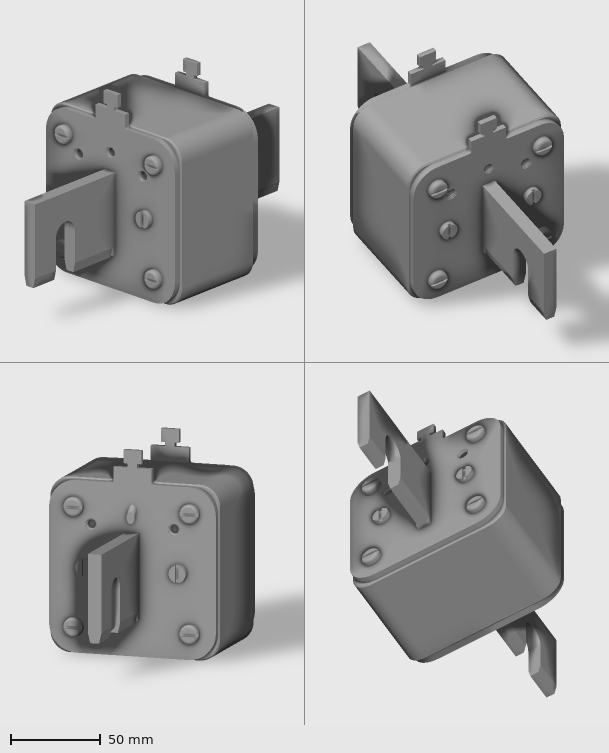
import cadquery as cq
import math


BODY_SIDE = 100.0
BODY_LENGTH = 60.0
BODY_CORNER = 12.0
BODY_EDGE_CHAMFER = 0.8

PLATE_SIDE = 98.2
PLATE_THICKNESS = 4.0
PLATE_CORNER = 16.0
PLATE_FACE = BODY_LENGTH / 2 + PLATE_THICKNESS

TAB_TOP = 68.0
TAB_THICKNESS = 3.0
TAB_BASE_WIDTH = 22.5
TAB_SHOULDER = 58.0
TAB_NECK_WIDTH = 5.5
TAB_NECK_TOP = 60.5
TAB_HEAD_WIDTH = 10.5
TAB_ROOT_FILLET = 1.2

BLADE_SPAN = 200.0
BLADE_THICKNESS = 8.0
BLADE_TOP = 21.2
BLADE_BOTTOM = -29.5
BLADE_ROOT_LENGTH = 2.8
BLADE_ROOT_BOTTOM = -28.2
BEVEL_WIDTH = 1.5
BEVEL_HEIGHT = 6.0
SLOT_WIDTH = 15.5
SLOT_TOP = 3.5
SLOT_CENTER = 75.0

SCREW_SLOT_WIDTH = 2.0
SCREW_SLOT_DEPTH = 1.5
CORNER_SCREW_OFFSET = 34.2
CORNER_SCREW_RADIUS = 5.5
CORNER_SCREW_HEIGHT = 4.2
CORNER_SCREW_FILLET = 1.8
MIDDLE_SCREW_OFFSET = 27.5
MIDDLE_SCREW_RADIUS = 5.0
MIDDLE_SCREW_HEIGHT = 3.5

HOLE_RADIUS = 2.5
SIDE_HOLE_MOUTH_RADIUS = 3.5
CENTER_HOLE_MOUTH_RADIUS = 3.5
HOLE_LEDGE_WIDTH = 0.5
HOLE_LEDGE_DEPTH = 0.5
SIDE_HOLE_OFFSET = 24.5
CENTER_HOLE_HEIGHT = 32.0

PIN_RADIUS = 2.5
PIN_HEIGHT = 33.8
PIN_PROJECTION = 3.5
PIN_TILT = 45.0


def rounded_block(side, corner, start, length):
    """Square block with rounded corners, running along +Y from start."""
    block = cq.Workplane("XY").box(side, length, side).edges("|Y").fillet(corner)
    return block.translate((0, start + length / 2, 0))


def body():
    block = rounded_block(BODY_SIDE, BODY_CORNER, -BODY_LENGTH / 2, BODY_LENGTH)
    return block.faces("<Y or >Y").chamfer(BODY_EDGE_CHAMFER)


def grip_tab():
    """Stepped tab, flush with the outer face of the -Y plate."""
    root = PLATE_SIDE / 2
    right_side = [
        (TAB_BASE_WIDTH / 2 + TAB_ROOT_FILLET, root),
        (TAB_BASE_WIDTH / 2, root + TAB_ROOT_FILLET),
        (TAB_BASE_WIDTH / 2, TAB_SHOULDER),
        (TAB_NECK_WIDTH / 2, TAB_SHOULDER),
        (TAB_NECK_WIDTH / 2, TAB_NECK_TOP),
        (TAB_HEAD_WIDTH / 2, TAB_NECK_TOP),
        (TAB_HEAD_WIDTH / 2, TAB_TOP),
    ]
    fillet_start, fillet_end = right_side[:2]
    overlap = root - TAB_ROOT_FILLET
    profile = (
        cq.Workplane("XZ", origin=(0, -PLATE_FACE, 0))
        .moveTo(0, overlap)
        .lineTo(fillet_start[0], overlap)
        .lineTo(*fillet_start)
        .radiusArc(fillet_end, TAB_ROOT_FILLET)
    )
    for point in right_side[2:]:
        profile = profile.lineTo(*point)
    half = profile.lineTo(0, TAB_TOP).close().extrude(-TAB_THICKNESS)
    return half.union(half.mirror("YZ"))


def blade():
    """Contact blade on the -Y side: bevelled lower edge and an open bolt slot."""
    half_span = BLADE_SPAN / 2
    bevel_start = PLATE_FACE + BLADE_ROOT_LENGTH
    half_thickness = BLADE_THICKNESS / 2
    tip = half_thickness - BEVEL_WIDTH
    bevel_top = BLADE_BOTTOM + BEVEL_HEIGHT
    bar = (
        cq.Workplane("XZ", origin=(0, -bevel_start, 0))
        .polyline([
            (-half_thickness, BLADE_TOP),
            (half_thickness, BLADE_TOP),
            (half_thickness, bevel_top),
            (tip, BLADE_BOTTOM),
            (-tip, BLADE_BOTTOM),
            (-half_thickness, bevel_top),
        ])
        .close()
        .extrude(half_span - bevel_start)
    )
    root_height = BLADE_TOP - BLADE_ROOT_BOTTOM
    root = cq.Workplane("XY").box(BLADE_THICKNESS, BLADE_ROOT_LENGTH, root_height).translate(
        (0, -PLATE_FACE - BLADE_ROOT_LENGTH / 2, BLADE_TOP - root_height / 2)
    )
    slot_radius = SLOT_WIDTH / 2
    arc_height = SLOT_TOP - slot_radius
    slot = (
        cq.Workplane("YZ", origin=(-half_thickness, 0, 0))
        .moveTo(-SLOT_CENTER - slot_radius, BLADE_BOTTOM)
        .lineTo(-SLOT_CENTER - slot_radius, arc_height)
        .threePointArc((-SLOT_CENTER, SLOT_TOP), (-SLOT_CENTER + slot_radius, arc_height))
        .lineTo(-SLOT_CENTER + slot_radius, BLADE_BOTTOM)
        .close()
        .extrude(BLADE_THICKNESS)
    )
    return bar.union(root).cut(slot)


def screw_head(x, z, radius, height, slot_size, fillet=0):
    """Slotted screw head on the -Y plate; slot_size is the slot's (X, Z) extent."""
    head = cq.Workplane("XZ").circle(radius).extrude(height)
    if fillet:
        head = head.faces("<Y").edges().fillet(fillet)
    slot = cq.Workplane("XZ").workplane(offset=height).rect(*slot_size).extrude(-SCREW_SLOT_DEPTH)
    return head.cut(slot).translate((x, -PLATE_FACE, z))


def screws():
    corner_slot = (2 * CORNER_SCREW_RADIUS, SCREW_SLOT_WIDTH)
    middle_slot = (SCREW_SLOT_WIDTH, 2 * MIDDLE_SCREW_RADIUS)
    heads = cq.Workplane("XZ")
    for side in (-1, 1):
        heads = heads.add(
            screw_head(side * MIDDLE_SCREW_OFFSET, 0, MIDDLE_SCREW_RADIUS, MIDDLE_SCREW_HEIGHT, middle_slot)
        )
        for level in (-1, 1):
            heads = heads.add(
                screw_head(
                    side * CORNER_SCREW_OFFSET, level * CORNER_SCREW_OFFSET,
                    CORNER_SCREW_RADIUS, CORNER_SCREW_HEIGHT, corner_slot, CORNER_SCREW_FILLET,
                )
            )
    return heads.combine()


def plate_hole(x, z, mouth_radius):
    """Cutter for a hole through the -Y plate with a shallow ledge above a 45 degree countersink."""
    ledge_radius = mouth_radius - HOLE_LEDGE_WIDTH
    countersink_bottom = HOLE_LEDGE_DEPTH + ledge_radius - HOLE_RADIUS
    return (
        cq.Workplane("XY")
        .polyline([
            (0, 0),
            (mouth_radius, 0),
            (mouth_radius, HOLE_LEDGE_DEPTH),
            (ledge_radius, HOLE_LEDGE_DEPTH),
            (HOLE_RADIUS, countersink_bottom),
            (HOLE_RADIUS, PLATE_THICKNESS),
            (0, PLATE_THICKNESS),
        ])
        .close()
        .revolve(360, (0, 0), (0, 1))
        .translate((x, -PLATE_FACE, z))
    )


def end_assembly():
    """Plate, tab, screws and blade of the -Y end."""
    plate = rounded_block(PLATE_SIDE, PLATE_CORNER, -PLATE_FACE, PLATE_THICKNESS)
    end = plate.union(grip_tab()).union(screws()).union(blade())
    for side in (-1, 1):
        end = end.cut(plate_hole(side * SIDE_HOLE_OFFSET, SIDE_HOLE_OFFSET, SIDE_HOLE_MOUTH_RADIUS))
    return end


def indicator_pin():
    """Round pin leaning downwards out of the +Y plate, cut off parallel to it."""
    tilt = math.radians(PIN_TILT)
    reach = 4 * PIN_PROJECTION
    axis = cq.Vector(0, math.cos(tilt), -math.sin(tilt))
    start = cq.Vector(0, PLATE_FACE, PIN_HEIGHT) - axis * reach
    pin = cq.Workplane(cq.Solid.makeCylinder(PIN_RADIUS, 2 * reach, start, axis))
    envelope = cq.Workplane("XY").box(reach, PIN_PROJECTION, 2 * reach).translate(
        (0, PLATE_FACE + PIN_PROJECTION / 2, PIN_HEIGHT)
    )
    return pin.intersect(envelope)


front_end = end_assembly()
back_end = front_end.mirror("XZ").union(indicator_pin())
front_end = front_end.cut(plate_hole(0, CENTER_HOLE_HEIGHT, CENTER_HOLE_MOUTH_RADIUS))
result = body().union(front_end).union(back_end)